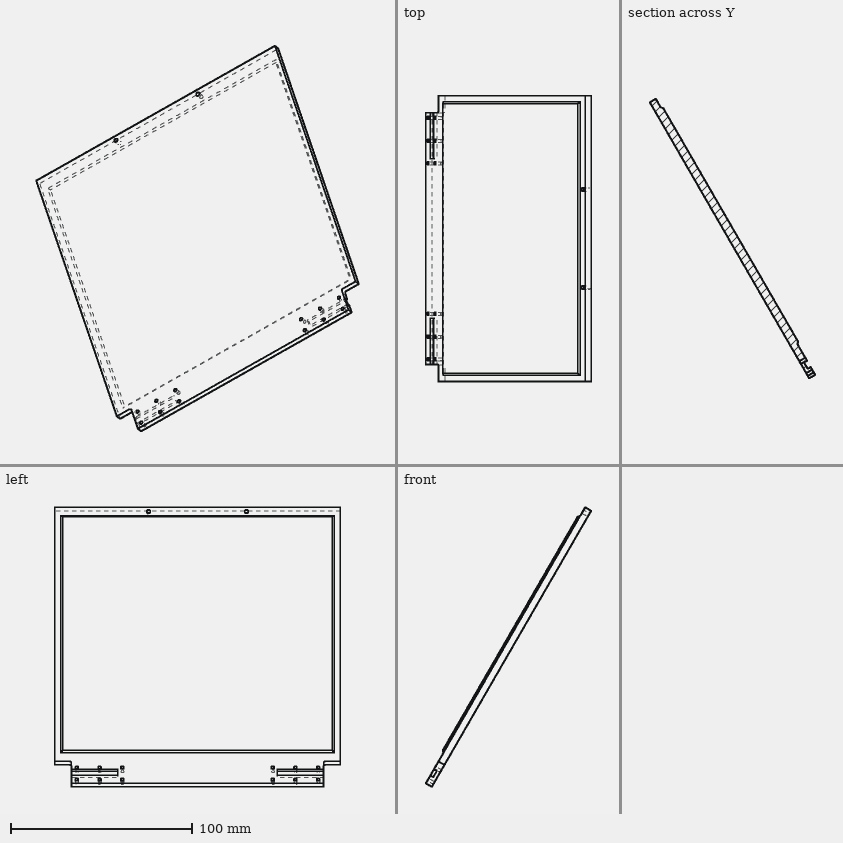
import cadquery as cq

TILT = 60.0
LENGTH = 175.8
WIDTH = 157.6
THICKNESS = 3.9

NOTCH_LENGTH = 14.0
TAB_WIDTH = 139.0
NOTCH_FILLET = 1.0

PANEL_SIDE_MARGIN = 3.45
PANEL_TOP_MARGIN = 5.5
PANEL_BOTTOM_MARGIN = 19.5
PANEL_HEIGHT = 1.0
PANEL_EDGE_INSET = 1.0

SLOT_LENGTH = 25.5
SLOT_WIDTH = 3.9
SLOT_DEPTH = 1.9
SLOT_CENTRE = 7.0

HINGE_HOLE_DIAMETER = 1.62
HINGE_HOLE_EDGE_OFFSET = 3.0
HINGE_HOLE_PITCH = 12.5
HINGE_HOLES_PER_ROW = 3
HINGE_ROW_POSITIONS = (2.5, 10.1)

TOP_HOLE_DIAMETER = 2.08
TOP_HOLE_SPACING = 54.0
TOP_HOLE_MARGIN = 2.7


def block(x_start, x_end, y_start, y_end, z_start, z_end):
    """Axis-aligned box between two opposite corners."""
    size = (x_end - x_start, y_end - y_start, z_end - z_start)
    return cq.Workplane("XY").box(*size, centered=False).translate((x_start, y_start, z_start))


def make_plate():
    """Flat plate with a narrower tab at its lower end."""
    body = block(NOTCH_LENGTH, LENGTH, -WIDTH / 2, WIDTH / 2, 0, THICKNESS)
    tab = block(0, NOTCH_LENGTH, -TAB_WIDTH / 2, TAB_WIDTH / 2, 0, THICKNESS)
    inner_corners = cq.selectors.BoxSelector(
        (NOTCH_LENGTH - NOTCH_FILLET, -TAB_WIDTH / 2 - NOTCH_FILLET, 0),
        (NOTCH_LENGTH + NOTCH_FILLET, TAB_WIDTH / 2 + NOTCH_FILLET, THICKNESS),
    )
    return body.union(tab).edges("|Z").edges(inner_corners).fillet(NOTCH_FILLET)


def make_panel():
    """Raised panel whose four edges slope inwards."""
    length = LENGTH - PANEL_TOP_MARGIN - PANEL_BOTTOM_MARGIN
    width = WIDTH - 2 * PANEL_SIDE_MARGIN
    return (
        cq.Workplane("XY")
        .workplane(offset=THICKNESS)
        .center(PANEL_BOTTOM_MARGIN + length / 2, 0)
        .rect(length, width)
        .workplane(offset=PANEL_HEIGHT)
        .rect(length - 2 * PANEL_EDGE_INSET, width - 2 * PANEL_EDGE_INSET)
        .loft(ruled=True)
    )


def make_slot(side):
    """Hinge recess running inwards from the tab side at +Y (side = 1) or -Y (side = -1)."""
    outer = side * TAB_WIDTH / 2
    inner = outer - side * SLOT_LENGTH
    return block(
        SLOT_CENTRE - SLOT_WIDTH / 2,
        SLOT_CENTRE + SLOT_WIDTH / 2,
        min(outer, inner),
        max(outer, inner),
        THICKNESS - SLOT_DEPTH,
        THICKNESS,
    )


def hinge_hole_points():
    """Centres of the screw holes of both hinges."""
    first = TAB_WIDTH / 2 - HINGE_HOLE_EDGE_OFFSET
    return [
        (row, side * (first - index * HINGE_HOLE_PITCH))
        for side in (-1, 1)
        for row in HINGE_ROW_POSITIONS
        for index in range(HINGE_HOLES_PER_ROW)
    ]


def make_holes(points, diameter):
    """Cylinders passing through the plate thickness."""
    return cq.Workplane("XY").pushPoints(points).circle(diameter / 2).extrude(THICKNESS)


plate = make_plate().union(make_panel())
for side in (-1, 1):
    plate = plate.cut(make_slot(side))

top_hole_points = [(LENGTH - TOP_HOLE_MARGIN, side * TOP_HOLE_SPACING / 2) for side in (-1, 1)]
plate = plate.cut(make_holes(hinge_hole_points(), HINGE_HOLE_DIAMETER))
plate = plate.cut(make_holes(top_hole_points, TOP_HOLE_DIAMETER))

result = plate.rotate((0, 0, 0), (0, 1, 0), -TILT)